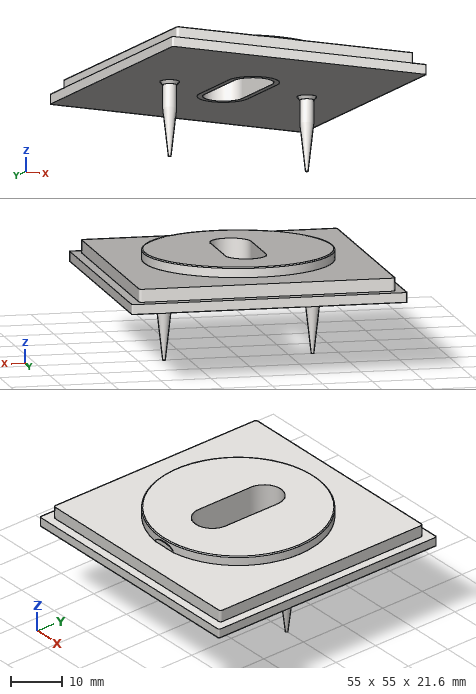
import cadquery as cq

base_side = 55.0
base_height = 2.0
base_corner_radius = 0.35
cover_side = 51.15
cover_height = 2.6
cover_corner_radius = 0.55

rose_diameter = 37.75
rose_height = 2.05
rose_chamfer = 0.2

recess_width = 5.5
recess_height = 1.2

slot_width = 8.15
slot_length = 21.25
sleeve_wall = 1.1
sleeve_width = slot_width + 2 * sleeve_wall
sleeve_length = slot_length + 2 * sleeve_wall

pin_spacing = 29.7
pin_length = 14.9
pin_radius = 1.4
pin_tip_radius = 0.3
pin_collar_radius = 1.9
pin_collar_height = 0.65
pin_taper_start = 5.35

cover_bottom = base_height
rose_bottom = cover_bottom + cover_height


def make_slot_prism(length, width, bottom, height):
    """Upright prism with a round-ended outline, long along Y."""
    return (
        cq.Workplane("XY")
        .workplane(offset=bottom)
        .slot2D(length, width, angle=90)
        .extrude(height)
    )


def make_square_plate(side, height, corner_radius, bottom):
    """Square plate with rounded upright edges and an opening for the rose sleeve."""
    plate = (
        cq.Workplane("XY")
        .workplane(offset=bottom)
        .rect(side, side)
        .extrude(height)
        .edges("|Z")
        .fillet(corner_radius)
    )
    return plate.cut(make_slot_prism(sleeve_length, sleeve_width, bottom, height))


def make_edge_recess():
    """Half-elliptical cutter whose flat back is a chord of the rose."""
    rose_radius = rose_diameter / 2
    half_width = recess_width / 2
    chord_distance = (rose_radius**2 - half_width**2) ** 0.5
    return (
        cq.Workplane("XZ", origin=(0, -chord_distance, rose_bottom))
        .ellipse(half_width, recess_height)
        .extrude(rose_radius - chord_distance)
    )


def make_rose():
    """Chamfered disc whose slotted sleeve reaches down through both plates."""
    disc = (
        cq.Workplane("XY")
        .workplane(offset=rose_bottom)
        .circle(rose_diameter / 2)
        .extrude(rose_height)
        .faces(">Z")
        .chamfer(rose_chamfer)
    )
    sleeve = make_slot_prism(sleeve_length, sleeve_width, 0, rose_bottom)
    keyhole = make_slot_prism(slot_length, slot_width, 0, rose_bottom + rose_height)
    return disc.union(sleeve).cut(keyhole).cut(make_edge_recess())


def make_pin(x):
    """Pin with a conical collar, a straight shank and a tapered end."""
    profile = (
        cq.Workplane("XZ")
        .moveTo(0, 0)
        .lineTo(pin_collar_radius, 0)
        .lineTo(pin_radius, -pin_collar_height)
        .lineTo(pin_radius, -pin_taper_start)
        .lineTo(pin_tip_radius, -pin_length)
        .lineTo(0, -pin_length)
        .close()
    )
    return profile.revolve(360, (0, 0, 0), (0, 1, 0)).translate((x, 0, 0))


backplate = make_square_plate(base_side, base_height, base_corner_radius, 0)
cover = make_square_plate(cover_side, cover_height, cover_corner_radius, cover_bottom)
rose = make_rose()
pins = [make_pin(side * pin_spacing / 2) for side in (-1, 1)]

result = cq.Compound.makeCompound(
    [backplate.val(), cover.val(), rose.val(), *[pin.val() for pin in pins]]
)